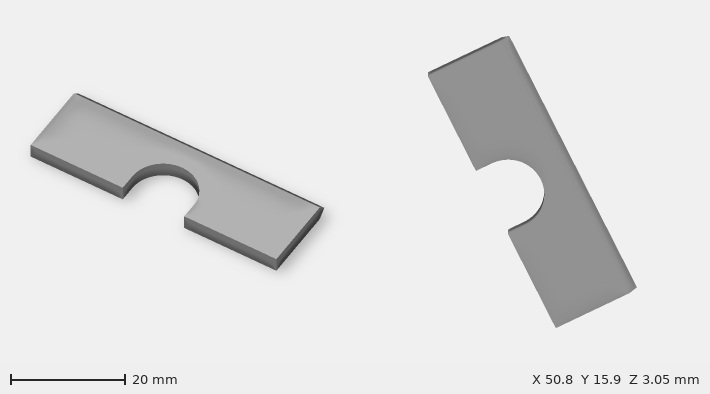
import cadquery as cq

length = 50.8
width = 15.875
thickness = 3.048
notch_width = 12.7
notch_depth = 9.525

half_length = length / 2
half_thickness = thickness / 2
front_y = -width / 2
tip_y = width / 2
bevel_run = half_thickness
shoulder_y = tip_y - bevel_run
notch_radius = notch_width / 2
notch_center_y = front_y + notch_depth - notch_radius


def make_bar():
    """Flat bar whose +Y edge is bevelled on both faces to a point."""
    return (
        cq.Workplane("YZ", origin=(-half_length, 0, 0))
        .moveTo(front_y, -half_thickness)
        .lineTo(shoulder_y, -half_thickness)
        .lineTo(tip_y, 0)
        .lineTo(shoulder_y, half_thickness)
        .lineTo(front_y, half_thickness)
        .close()
        .extrude(length)
    )


def make_notch():
    """Through-cutter for the notch: straight sides closed by a half circle."""
    return (
        cq.Workplane("XY", origin=(0, 0, -half_thickness))
        .moveTo(-notch_radius, front_y)
        .lineTo(-notch_radius, notch_center_y)
        .threePointArc((0, notch_center_y + notch_radius), (notch_radius, notch_center_y))
        .lineTo(notch_radius, front_y)
        .close()
        .extrude(thickness)
    )


result = make_bar().cut(make_notch())